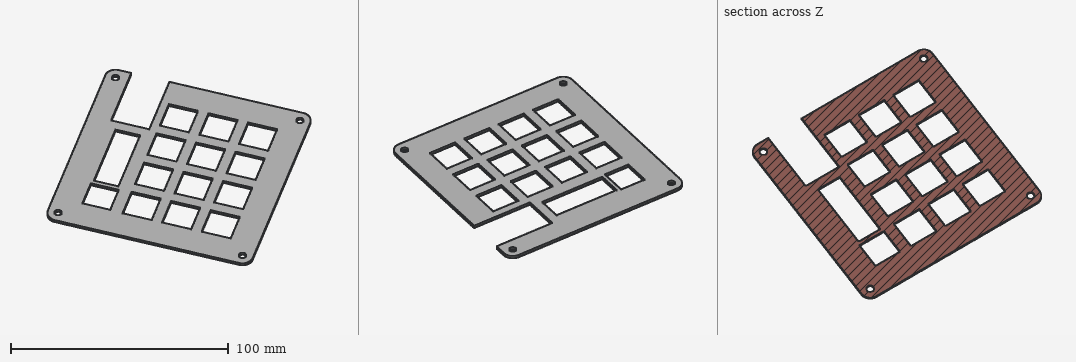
import cadquery as cq

plate_width = 98.6
plate_depth = 97.7
plate_thickness = 1.5
corner_radius = 4.9

hole_diameter = 3.4

key_columns = 3
key_rows = 4
key_size = 14.0
key_pitch = 19.0
key_grid_center_x = 10.0
key_grid_center_y = 0.1

notch_left = -38.4
notch_width = 18.3
notch_depth = 30.9

window_center_x = -28.8
long_window_width = 11.8
long_window_length = 33.2
long_window_center_y = -3.5
small_window_width = 13.4
small_window_length = 13.0
small_window_center_y = -28.6


def cutter(width, length, center_x, center_y):
    """Rectangular block as thick as the plate, for a through opening."""
    block = cq.Workplane("XY").box(width, length, plate_thickness, centered=(True, True, False))
    return block.translate((center_x, center_y, 0))


result = (
    cq.Workplane("XY")
    .box(plate_width, plate_depth, plate_thickness, centered=(True, True, False))
    .edges("|Z")
    .fillet(corner_radius)
)

result = (
    result.faces(">Z")
    .workplane(origin=(0, 0, plate_thickness))
    .rect(plate_width - 2 * corner_radius, plate_depth - 2 * corner_radius, forConstruction=True)
    .vertices()
    .hole(hole_diameter)
)

for column in range(key_columns):
    for row in range(key_rows):
        key_x = key_grid_center_x + (column - (key_columns - 1) / 2) * key_pitch
        key_y = key_grid_center_y + (row - (key_rows - 1) / 2) * key_pitch
        result = result.cut(cutter(key_size, key_size, key_x, key_y))

notch_center_x = notch_left + notch_width / 2
notch_center_y = plate_depth / 2 - notch_depth / 2
result = result.cut(cutter(notch_width, notch_depth, notch_center_x, notch_center_y))

result = result.cut(cutter(long_window_width, long_window_length, window_center_x, long_window_center_y))
result = result.cut(cutter(small_window_width, small_window_length, window_center_x, small_window_center_y))